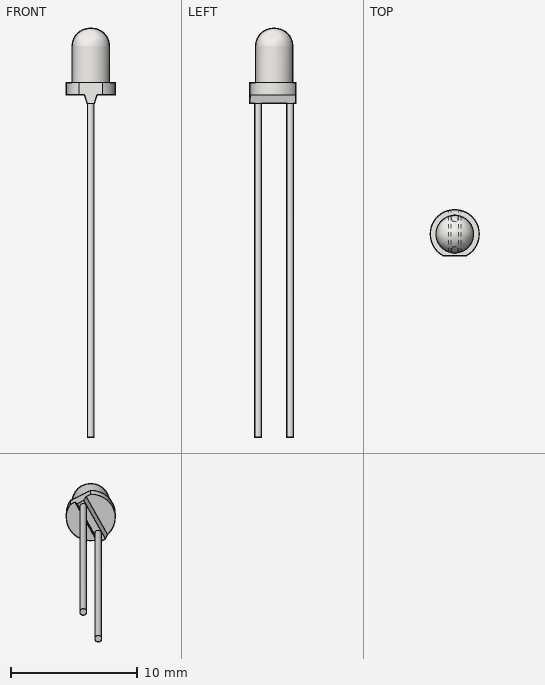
import cadquery as cq
import math

total_height = 32.4
rib_bottom = 26.45
rib_height = 0.68
flange_bottom = rib_bottom + rib_height
flange_thickness = 0.97

lens_radius = 1.5
dome_radius = 1.43
dome_base = total_height - dome_radius
top_flat_radius = lens_radius - dome_radius
flange_radius = 1.95
flat_distance = 1.72

rib_top_width = 1.0
rib_bottom_width = 0.58

lead_diameter = 0.55
lead_spacing = 2.53


def flange_prism(bottom, height):
    """Disc of the flange outline, cut by the flat on the -Y side."""
    disc = cq.Workplane("XY").workplane(offset=bottom).circle(flange_radius).extrude(height)
    keep_depth = flange_radius + flat_distance
    keep = (
        cq.Workplane("XY")
        .workplane(offset=bottom)
        .center(0, (flange_radius - flat_distance) / 2)
        .rect(2 * flange_radius, keep_depth)
        .extrude(height)
    )
    return disc.intersect(keep)


def lens():
    """Cylinder with a rounded dome and a tiny flat tip, revolved about the Z axis."""
    arc_middle = dome_radius * math.sqrt(0.5)
    return (
        cq.Workplane("XZ")
        .moveTo(0, flange_bottom)
        .lineTo(lens_radius, flange_bottom)
        .lineTo(lens_radius, dome_base)
        .threePointArc(
            (top_flat_radius + arc_middle, dome_base + arc_middle),
            (top_flat_radius, total_height),
        )
        .lineTo(0, total_height)
        .close()
        .revolve(360, (0, 0, 0), (0, 1, 0))
    )


def rib():
    """Bar along Y that narrows downward and ends flush with the flange outline."""
    bar = (
        cq.Workplane("XZ")
        .polyline([
            (-rib_top_width / 2, flange_bottom),
            (rib_top_width / 2, flange_bottom),
            (rib_bottom_width / 2, rib_bottom),
            (-rib_bottom_width / 2, rib_bottom),
        ])
        .close()
        .extrude(flange_radius, both=True)
    )
    return bar.intersect(flange_prism(rib_bottom, rib_height))


def leads():
    """Two equal round leads, reaching up to the underside of the flange."""
    return (
        cq.Workplane("XY")
        .rarray(0.32, lead_spacing, 1, 2)
        .circle(lead_diameter / 2)
        .extrude(flange_bottom)
    )


flange = flange_prism(flange_bottom, flange_thickness)
result = flange.union(lens()).union(rib()).union(leads())